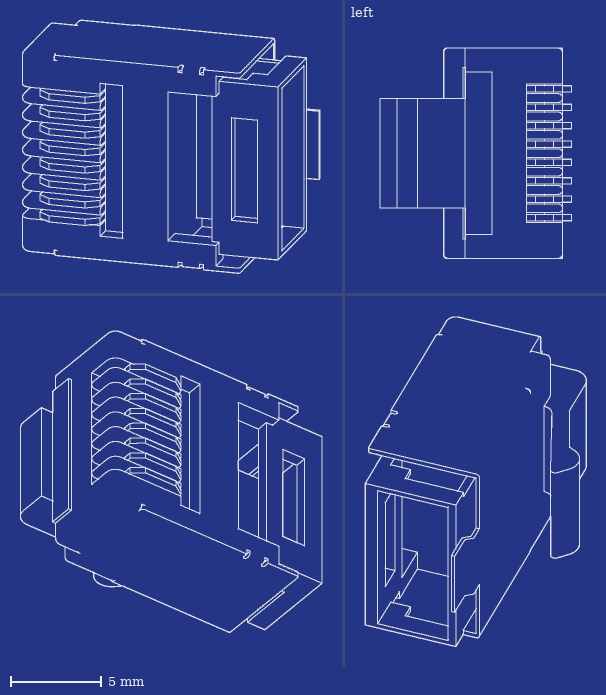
import cadquery as cq
import math


shell_length = 12.77
shell_height = 6.61
shell_width = 11.704
shell_side = 0.3
shell_top = 0.2
edge_round = 0.3
nose_round = 0.6
step_x = 1.37
step_y = 5.42
far_corner_round = 0.12
half_width = shell_width / 2

margin = 0.1

lower_round_end = 1.98
upper_round_end = 4.73
square_end_round = 0.2
upper_edge_round = 0.2

lug_start = 9.42
lug_end = 10.44
lug_slit = 0.22
lug_slit_depth = 0.42
lug_drop = 0.22

block_end = 8.6
front_end = 11.39
gap_height = 0.1
gap_width = 9.5

pocket_start = 4.67
pocket_length = 1.3
pocket_width = 8.93
pocket_depth = 1.0
opening_width = 8.7

holder_start = 10.97
holder_end = 14.81
holder_width = 10.12
holder_front = 0.6
holder_back = 5.99
holder_front_wall = 0.75
holder_back_wall = 0.47
holder_side_wall = (holder_width - gap_width) / 2
notch_end = 13.61
notch_low = 2.52
window_start = 12.1
window_width = 6.0
front_wall_back = holder_front + holder_front_wall

contact_count = 8
contact_pitch = 1.02
contact_thickness = 0.36
contact_start = 1.17
contact_flat_start = 1.85
contact_flat_end = 3.95
contact_reach = 0.5
contact_notch_low = 0.52
contact_notch_high = 1.5
contact_notch_depth = 0.35
contact_notch_round = 0.2
comb_depth = 2.02
rib_width = 0.48
comb_width = contact_count * contact_pitch - rib_width

latch_width = 6.1
latch_front = -0.97
latch_back = 8.06
latch_corner = 0.98
latch_bend_x = 2.46
latch_root_x = 2.62
grip_centre = (6.6, 9.12)
grip_radius = 1.03
grip_root = (5.47, 9.19)
grip_arc_start = (5.61, 9.41)
grip_arc_end = (7.23, 9.94)
grip_tip = (7.83, 9.36)
grip_tip_mid = (7.9, 9.1)
grip_tip_end = (7.72, 8.92)
latch_underside_root = (2.98, 7.2)
latch_underside_mid = (2.71, 6.95)

pad_thickness = 0.2
pad_bottom = 3.92
pad_width = 9.0
tongue_width = 4.0
tongue_end = 15.53
tongue_bend_start = 13.66
tongue_bend_end = 13.97
tongue_bend_shift = 0.1
tongue_bend_round = 0.12


def block(x0, x1, y0, y1, width):
    """Box between two X and two Y positions, centred on Z = 0."""
    return cq.Workplane("XY").box(x1 - x0, y1 - y0, width).translate(((x0 + x1) / 2, (y0 + y1) / 2, 0))


def centred_extrusion(sketch, width):
    return sketch.extrude(width / 2, both=True)


def on_both_sides(solid):
    return solid.union(solid.mirror("XY"))


def side_rims(solid, x0, x1, y0, y1):
    """Edges of the two side faces that lie wholly between the given X and Y positions."""
    span = cq.selectors.BoxSelector((x0, y0, -shell_width), (x1, y1, shell_width))
    return solid.faces("<Z or >Z").edges(span)


def nose_body():
    """Lower part of the shell, rounded at the nose and along the bent part of its lower edges."""
    body = block(0, shell_length, 0, step_y, shell_width)
    body = body.edges("|Z and <X and <Y").fillet(nose_round)
    body = side_rims(body, -margin, shell_length - margin, -margin, step_y - margin).fillet(edge_round)
    strip = (
        cq.Workplane("XY", origin=(lower_round_end, 0, half_width - edge_round))
        .rect(shell_length - lower_round_end, edge_round, centered=False)
        .extrude(edge_round)
    )
    return body.cut(on_both_sides(strip))


def latch_side_body():
    """Upper part of the shell, set back from the nose."""
    body = block(step_x, shell_length, step_y - edge_round, shell_height, shell_width)
    body = body.edges("|Z and <X and >Y").fillet(edge_round)
    rim_bottom = step_y - edge_round + margin
    body = side_rims(body, 0, shell_length - margin, rim_bottom, shell_height + margin).fillet(edge_round)
    return body.intersect(block(0, shell_length, step_y, shell_height, shell_width))


def outer_shell():
    square_lower = block(lower_round_end, shell_length, 0, step_y, shell_width)
    square_lower = square_lower.edges("|Z and <X and <Y").fillet(square_end_round)
    square_upper = block(upper_round_end, shell_length, step_y, shell_height, shell_width)
    square_upper = square_upper.faces(">Y").edges("|X").fillet(upper_edge_round)
    shell = nose_body().union(square_lower).union(latch_side_body()).union(square_upper)
    return shell.edges("|Z and >X and <Y").fillet(far_corner_round)


def rear_cavity():
    inner_width = shell_width - 2 * shell_side
    behind_front = block(block_end, shell_length, front_wall_back, shell_height - shell_top, inner_width)
    past_front = block(front_end, shell_length, 0, shell_height - shell_top, inner_width)
    return behind_front.union(past_front)


def edge_slit(x):
    """Round-ended relief slit through one side plate, open at the contact face."""
    radius = lug_slit / 2
    slit = (
        cq.Workplane("XY", origin=(0, 0, half_width - shell_side))
        .moveTo(x, 0)
        .lineTo(x, lug_slit_depth - radius)
        .threePointArc((x + radius, lug_slit_depth), (x + lug_slit, lug_slit_depth - radius))
        .lineTo(x + lug_slit, 0)
        .close()
        .extrude(shell_side)
    )
    return on_both_sides(slit)


def lug_rounding():
    """Corner material removed so that each lug is bent round towards the contact face."""
    profile = (
        cq.Workplane("YZ", origin=(lug_start, 0, 0))
        .moveTo(0, half_width)
        .lineTo(0, half_width - lug_drop)
        .radiusArc((lug_drop, half_width), lug_drop)
        .close()
        .extrude(lug_end - lug_start)
    )
    return on_both_sides(profile)


def cable_holder():
    holder = block(holder_start, holder_end, holder_front, holder_back, holder_width)
    back_inside = holder_back - holder_back_wall
    inner_width = holder_width - 2 * holder_side_wall
    holder = holder.cut(block(holder_start, holder_end, front_wall_back, back_inside, inner_width))
    holder = holder.cut(block(holder_start, shell_length, front_wall_back, holder_back, holder_width))
    holder = holder.cut(block(shell_length, notch_end, notch_low, holder_back, holder_width))
    holder = holder.cut(block(window_start, notch_end, holder_front, front_wall_back, window_width))
    return holder.union(block(block_end, notch_end, back_inside, holder_back, inner_width))


def comb_ribs():
    """Ribs with half-round crests that follow the rounded nose."""
    crest = rib_width / 2
    bend = nose_round - crest
    bend_mid = crest + bend * (1 - math.sqrt(0.5))
    core = block(crest, pocket_start, crest, comb_depth, rib_width)
    core = core.edges("|Z and <X and <Y").fillet(bend)
    crest_path = (
        cq.Workplane("XY")
        .moveTo(crest, comb_depth)
        .lineTo(crest, nose_round)
        .threePointArc((bend_mid, bend_mid), (nose_round, crest))
        .lineTo(pocket_start, crest)
    )
    crest_bead = cq.Workplane("XZ", origin=(crest, comb_depth, 0)).circle(crest).sweep(crest_path)
    rib = core.union(crest_bead)
    ribs = cq.Workplane("XY")
    for i in range(contact_count - 1):
        offset = (i - (contact_count - 2) / 2) * contact_pitch
        ribs = ribs.union(rib.translate((0, 0, offset)))
    return ribs


def contacts():
    profile = (
        cq.Workplane("XY")
        .moveTo(contact_start, comb_depth)
        .lineTo(contact_start, 0)
        .lineTo(contact_flat_start, -contact_reach)
        .lineTo(contact_flat_end, -contact_reach)
        .lineTo(pocket_start, 0)
        .lineTo(pocket_start, comb_depth)
        .close()
    )
    blade = centred_extrusion(profile, contact_thickness)
    notch_floor = contact_start + contact_notch_depth
    notch = block(contact_start, notch_floor, contact_notch_low, contact_notch_high, contact_thickness)
    blade = blade.cut(notch.edges("|Z and >X").fillet(contact_notch_round))
    blades = cq.Workplane("XY")
    for i in range(contact_count):
        offset = (i - (contact_count - 1) / 2) * contact_pitch
        blades = blades.union(blade.translate((0, 0, offset)))
    return blades


def latch():
    corner_mid = latch_corner * (1 - math.sqrt(0.5))
    grip_x, grip_y = grip_centre
    profile = (
        cq.Workplane("XY")
        .moveTo(latch_front, step_y)
        .lineTo(latch_front, latch_back - latch_corner)
        .threePointArc(
            (latch_front + corner_mid, latch_back - corner_mid), (latch_front + latch_corner, latch_back)
        )
        .lineTo(latch_bend_x, latch_back)
        .lineTo(*grip_root)
        .lineTo(*grip_arc_start)
        .threePointArc((grip_x, grip_y + grip_radius), grip_arc_end)
        .lineTo(*grip_tip)
        .threePointArc(grip_tip_mid, grip_tip_end)
        .lineTo(*latch_underside_root)
        .threePointArc(latch_underside_mid, (latch_root_x, shell_height))
        .lineTo(latch_root_x, step_y)
        .close()
    )
    return centred_extrusion(profile, latch_width)


def spring_tongue():
    upper = shell_height
    lower = holder_back + shell_top
    profile = (
        cq.Workplane("XY")
        .moveTo(shell_length - shell_top, upper)
        .lineTo(tongue_bend_start, upper)
        .lineTo(tongue_bend_end, lower)
        .lineTo(tongue_end, lower)
        .lineTo(tongue_end, lower - shell_top)
        .lineTo(tongue_bend_end - tongue_bend_shift, lower - shell_top)
        .lineTo(tongue_bend_start - tongue_bend_shift, upper - shell_top)
        .lineTo(shell_length - shell_top, upper - shell_top)
        .close()
    )
    tongue = centred_extrusion(profile, tongue_width)
    bends = cq.selectors.BoxSelector(
        (shell_length + margin, 0, -tongue_width), (tongue_end - margin, shell_height + margin, tongue_width)
    )
    return tongue.edges("|Z").edges(bends).fillet(tongue_bend_round)


def plug():
    part = outer_shell().cut(rear_cavity())
    part = part.cut(block(0, block_end, step_y, step_y + gap_height, gap_width))
    part = part.cut(block(block_end, front_end, 0, front_wall_back, opening_width))
    part = part.cut(block(pocket_start, pocket_start + pocket_length, 0, pocket_depth, pocket_width))
    part = part.cut(block(0, pocket_start, 0, comb_depth, comb_width))
    part = part.cut(edge_slit(lug_start - lug_slit)).cut(edge_slit(lug_end)).cut(lug_rounding())
    part = part.union(comb_ribs()).union(contacts())
    part = part.union(cable_holder()).union(latch()).union(spring_tongue())
    return part.union(block(-pad_thickness, nose_round, pad_bottom, step_y, pad_width))


result = plug()